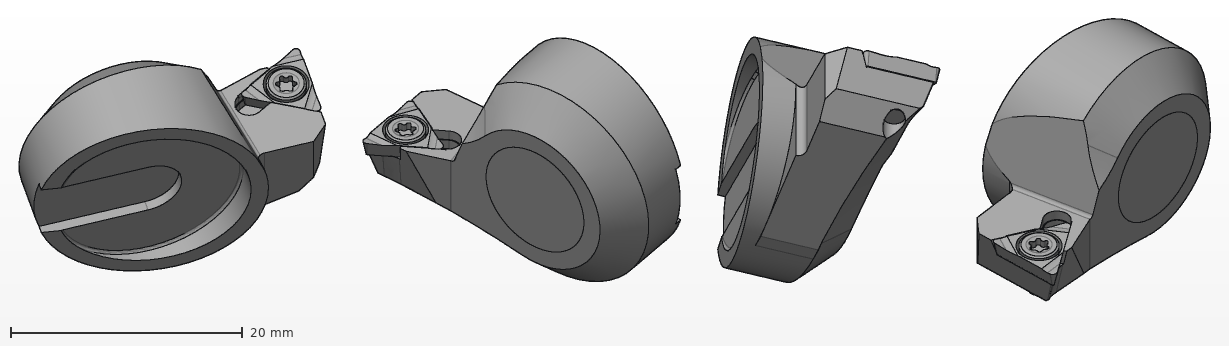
import cadquery as cq
import math


def polar(radius, degrees, centre=(0, 0)):
    """Point at a radius and an angle from a centre."""
    angle = math.radians(degrees)
    return (centre[0] + radius * math.cos(angle), centre[1] + radius * math.sin(angle))



OVERALL_LENGTH = 26.85

RING_DIAMETER = 20.0
RING_RADIUS = RING_DIAMETER / 2
CHAMFER = 3.0
BACK_TILT = 9
BACK_AT_AXIS = 9.77
BORE_RADIUS = 8.5
BORE_FLOOR = 8.5
BORE_FILLET = 0.25
KEY_HALF_WIDTH = 3.03
KEY_FLOOR = 7.57
PLUG_RADIUS = 5.25
PLUG_DEPTH = 2.0

LOWER_BLEND_RADIUS = 80.55
LOWER_BLEND_ANGLE = -78.5
UPPER_BLEND_RADIUS = 9.4
UPPER_BLEND_ANGLE = 40
UPPER_BLEND_SWEEP = 20
FRONT_REACH = 2.68

WALL_FOOT = 8.75
WALL_TURN = 9.5
WALL_LEAN = 20
WALL_FILLET = 0.4

TIP_ANGLES = (30, 150, 270)
LEFT_TIP_ANGLE = 150
LEFT_EDGE_NORMAL = 210
HALF_TIP = 30
INSERT_INRADIUS = 2.2
INSERT_CENTRE = (1.0, OVERALL_LENGTH - RING_RADIUS - INSERT_INRADIUS)
INSERT_THICKNESS = 1.53
INSERT_RELIEF = 11
NOSE_RADIUS = 0.4
SINK_RADIUS = 2.0
LIP_RADIUS = 1.9
LIP_DEPTH = 0.21
SEAT_RADIUS = 1.75
SEAT_DEPTH = 0.48
INSERT_BORE_RADIUS = 1.13

END_SETBACK = 0.13
EDGE_UNDERCUT = 0.2
ARM_END = INSERT_CENTRE[1] + INSERT_INRADIUS - END_SETBACK
ARM_DROP = 0.08
ARM_BACK = 7.57
ARM_BACK_CHAMFER = 1.53
ARM_BACK_FILLET = 0.75
ARM_FLANK_FOOT = 9.05
ARM_FLANK_CORNER = (-1.25, 12.97)
ARM_FOOT_FILLET = 0.27
TIP_RELIEF = 10
FLANK_RELIEF = 9.4
TIP_FILLET = 0.08
RELIEF_DEPTH = 5.37
ARM_FLANK_FILLET = 3.0
UNDERSIDE_SLOPE = 15
TIP_SLOPE = 47.5
TIP_BREAK = 13.85
POCKET_SHOULDER_SHIFT = 0.2
TIP_SLOT_CENTRE = (2.1, 10.98)
TIP_SLOT_RADIUS = 1.24
TIP_SLOT_LENGTH = 2.68
TIP_SLOT_TURN = -60
TIP_SLOT_STEP = 0.08
TIP_SLOT_STEP_DEPTH = 1.05
TIP_SLOT_DEPTH = 2.0

BREAKER_LAND_END = (-1.83, -0.13)
BREAKER_MIDDLE = (-1.48, -0.1)
BREAKER_END_X = -1.18

SCREW_TOP = 0.13
SCREW_TOP_RADIUS = 1.55
SHANK_RADIUS = 0.97
SHANK_END = -4.83
RECESS_RADIUS = 1.13
RECESS_DEPTH = 0.13
LOBE_COUNT = 6
LOBE_TURN = 15
DRIVE_OUTER_RADIUS = 0.9
DRIVE_INNER_RADIUS = 0.67
DRIVE_DEPTH = 0.8

FAR = 20.15


def underside_cut():
    """Everything below the arm underside, a tangent to the rim, and below the rising tip face."""
    slope = math.radians(UNDERSIDE_SLOPE)
    drop_at_axis = RING_RADIUS / math.cos(slope)
    break_z = TIP_BREAK * math.tan(slope) - drop_at_axis
    tip_rise = (FAR - TIP_BREAK) * math.tan(math.radians(TIP_SLOPE))
    return (
        cq.Workplane("YZ", origin=(-FAR, 0, 0))
        .moveTo(0, -drop_at_axis)
        .lineTo(TIP_BREAK, break_z)
        .lineTo(FAR, break_z + tip_rise)
        .lineTo(FAR, -FAR)
        .lineTo(0, -FAR)
        .close()
        .extrude(2 * FAR)
    )


def front_section(x):
    """Outline of the chamfered front form at X = x: it grows by x all round."""
    circle = RING_RADIUS - CHAMFER + x
    lower = LOWER_BLEND_RADIUS - x
    upper = UPPER_BLEND_RADIUS - x
    lower_centre = polar(circle + lower, LOWER_BLEND_ANGLE)
    upper_centre = polar(circle + upper, UPPER_BLEND_ANGLE)
    lower_start = LOWER_BLEND_ANGLE + 180
    lower_end = 90
    lower_middle = (lower_start + lower_end) / 2
    upper_start = UPPER_BLEND_ANGLE + 180
    upper_end = polar(upper, upper_start + UPPER_BLEND_SWEEP, upper_centre)
    return (
        cq.Workplane("YZ", origin=(x, 0, 0))
        .moveTo(*polar(circle, LOWER_BLEND_ANGLE))
        .threePointArc((-circle, 0), polar(circle, UPPER_BLEND_ANGLE))
        .threePointArc(polar(upper, upper_start + UPPER_BLEND_SWEEP / 2, upper_centre), upper_end)
        .lineTo(FAR, upper_end[1])
        .lineTo(FAR, lower_centre[1] + lower)
        .lineTo(lower_centre[0], lower_centre[1] + lower)
        .threePointArc(polar(lower, lower_middle, lower_centre), polar(circle, LOWER_BLEND_ANGLE))
        .close()
        .val()
    )


def head_blank():
    """Chamfered front with its blends, and the round rim and square arm behind it."""
    front = cq.Solid.makeLoft([front_section(-FRONT_REACH), front_section(CHAMFER)], True)
    behind = cq.Workplane("YZ", origin=(CHAMFER, 0, 0))
    rim = behind.circle(RING_RADIUS).extrude(FAR)
    arm = (
        behind.moveTo(0, -RING_RADIUS)
        .rect(FAR, RING_RADIUS + WALL_FILLET, centered=False)
        .extrude(ARM_BACK + ARM_BACK_FILLET - CHAMFER)
    )
    return cq.Workplane(front).cut(underside_cut()).union(arm.cut(underside_cut()).union(rim))


def plan_prism():
    """Outline seen along Z: front face, tilted back, arm back and side flank."""
    lean = math.tan(math.radians(BACK_TILT))
    flank_run = ARM_FLANK_CORNER[0] / (ARM_FLANK_CORNER[1] - ARM_FLANK_FOOT)
    fillet_middle = polar(
        ARM_BACK_FILLET, 225, (ARM_BACK + ARM_BACK_FILLET, RING_RADIUS + ARM_BACK_FILLET)
    )
    return (
        cq.Workplane("XY", origin=(0, 0, -FAR))
        .moveTo(0, -FAR)
        .lineTo(BACK_AT_AXIS - FAR * lean, -FAR)
        .lineTo(BACK_AT_AXIS + RING_RADIUS * lean, RING_RADIUS)
        .lineTo(ARM_BACK + ARM_BACK_FILLET, RING_RADIUS)
        .threePointArc(fillet_middle, (ARM_BACK, RING_RADIUS + ARM_BACK_FILLET))
        .lineTo(ARM_BACK, ARM_END - ARM_BACK_CHAMFER)
        .lineTo(ARM_BACK - ARM_BACK_CHAMFER, ARM_END)
        .lineTo(ARM_BACK - ARM_BACK_CHAMFER, FAR)
        .lineTo(flank_run * (FAR - ARM_FLANK_FOOT), FAR)
        .lineTo(0, ARM_FLANK_FOOT)
        .close()
        .extrude(2 * FAR)
        .edges(cq.selectors.NearestToPointSelector((0, ARM_FLANK_FOOT, 0)))
        .fillet(ARM_FOOT_FILLET)
    )


def wall_cut():
    """Space above the arm, bounded by the leaning wall and its foot fillet."""
    rise = FAR * math.tan(math.radians(WALL_LEAN))
    space = (
        cq.Workplane("YZ", origin=(-FAR, 0, 0))
        .polyline([(0, 0), (2 * FAR, 0), (2 * FAR, FAR), (-rise, FAR)])
        .close()
        .extrude(3 * FAR)
        .edges(cq.selectors.NearestToPointSelector((FAR / 2, 0, 0)))
        .fillet(WALL_FILLET)
    )
    return space.rotate((0, 0, 0), (0, 0, 1), WALL_TURN).translate((0, WALL_FOOT, -ARM_DROP))


def tip_section(depth):
    """Outline of the tapered arm tip at a depth below Z = 0, with its corner and its bend."""
    inset = depth * math.tan(math.radians(TIP_RELIEF))
    flank_inset = depth * math.tan(math.radians(FLANK_RELIEF))
    slant = math.cos(math.radians(HALF_TIP))
    half = math.sin(math.radians(HALF_TIP))
    centre_x, centre_y = INSERT_CENTRE
    edge_offset = INSERT_INRADIUS - EDGE_UNDERCUT - inset
    end_y = ARM_END - inset
    near_y = ARM_FLANK_FOOT - FAR / 4
    flank_x = ARM_FLANK_CORNER[0] + flank_inset
    corner_x = centre_x - (edge_offset + (end_y - centre_y) * half) / slant
    bend_y = centre_y - (edge_offset + (flank_x - centre_x) * slant) / half
    corner = (corner_x, end_y, -depth)
    bend = (flank_x, bend_y, -depth)
    outline = cq.Wire.makePolygon(
        [cq.Vector(*corner), cq.Vector(*bend), cq.Vector(flank_x, near_y, -depth),
         cq.Vector(FAR, near_y, -depth), cq.Vector(FAR, end_y, -depth)],
        close=True,
    )
    return outline, corner, bend


def relief_cut():
    """Material outside the tapered tip: end face, flank under the insert and side flank."""
    top = tip_section(0)[0]
    bottom = tip_section(RELIEF_DEPTH)[0]
    corner, bend = tip_section(RELIEF_DEPTH / 2)[1:]
    keep = (
        cq.Workplane(cq.Solid.makeLoft([top, bottom], True))
        .edges(cq.selectors.NearestToPointSelector(bend))
        .fillet(ARM_FLANK_FILLET)
        .edges(cq.selectors.NearestToPointSelector(corner))
        .fillet(TIP_FILLET)
    )
    slab = cq.Workplane("XY").box(2 * FAR, FAR, RELIEF_DEPTH, centered=(True, False, False))
    return slab.translate((0, ARM_FLANK_FOOT, -RELIEF_DEPTH)).cut(keep)


def insert_blank(nose_radius=0):
    """Tapered triangle of the insert, top at Z = 0; a nose radius rounds its three corners."""
    corners = [polar(2 * INSERT_INRADIUS, angle, INSERT_CENTRE) for angle in TIP_ANGLES]
    outline = cq.Sketch().polygon([*corners, corners[0]])
    if nose_radius:
        outline = outline.vertices().fillet(nose_radius)
    return cq.Workplane("XY").placeSketch(outline).extrude(-INSERT_THICKNESS, taper=INSERT_RELIEF)


def pocket_cut():
    """Insert seat, opened sideways along the tip half of the left insert edge."""
    opening = (
        cq.Workplane("XY")
        .box(FAR / 2, FAR / 2, INSERT_THICKNESS, centered=False)
        .translate((0, -POCKET_SHOULDER_SHIFT - FAR / 2, -INSERT_THICKNESS))
        .rotate((0, 0, 0), (0, 0, 1), LEFT_EDGE_NORMAL)
        .translate((*INSERT_CENTRE, 0))
    )
    return insert_blank().union(opening)


def tip_slot(radius, depth):
    """Round-ended slot that clears the inner insert tip."""
    return (
        cq.Workplane("XY")
        .rect(TIP_SLOT_LENGTH, 2 * radius)
        .extrude(-depth)
        .translate((-TIP_SLOT_LENGTH / 2, 0, 0))
        .union(cq.Workplane("XY").circle(radius).extrude(-depth))
        .rotate((0, 0, 0), (0, 0, 1), TIP_SLOT_TURN)
        .translate((*TIP_SLOT_CENTRE, 0))
    )


def coupling_cut():
    """Bore in the back with a filleted floor, and a key slot open to the -Y rim."""
    bore = (
        cq.Workplane("YZ", origin=(BORE_FLOOR, 0, 0))
        .circle(BORE_RADIUS)
        .extrude(FAR)
        .faces("<X")
        .edges()
        .fillet(BORE_FILLET)
    )
    key_plane = cq.Workplane("YZ", origin=(KEY_FLOOR, 0, 0))
    key_end = key_plane.circle(KEY_HALF_WIDTH).extrude(FAR)
    key_run = key_plane.center(-FAR / 2, 0).rect(FAR, 2 * KEY_HALF_WIDTH).extrude(FAR)
    return bore.union(key_end).union(key_run)


def make_plug():
    """Round disc set flush into the front face."""
    return cq.Workplane("YZ").circle(PLUG_RADIUS).extrude(PLUG_DEPTH)


def make_head():
    """Coupling and arm with the seats for plug, insert and screw."""
    screw_hole = (
        cq.Workplane("XY").center(*INSERT_CENTRE).circle(SHANK_RADIUS).extrude(-FAR)
    )
    return (
        head_blank()
        .intersect(plan_prism())
        .cut(wall_cut())
        .cut(relief_cut())
        .cut(pocket_cut())
        .cut(tip_slot(TIP_SLOT_RADIUS, TIP_SLOT_STEP_DEPTH))
        .cut(tip_slot(TIP_SLOT_RADIUS - TIP_SLOT_STEP, TIP_SLOT_DEPTH))
        .cut(coupling_cut())
        .cut(make_plug())
        .cut(screw_hole)
    )


def breaker_cut():
    """Chip breaker across the left tip: sloping land and concave groove."""
    tip_x = INSERT_CENTRE[0] - 2 * INSERT_INRADIUS * math.cos(math.radians(HALF_TIP))
    return (
        cq.Workplane("XZ", origin=(0, FAR, 0))
        .moveTo(tip_x, 0)
        .lineTo(*BREAKER_LAND_END)
        .threePointArc(BREAKER_MIDDLE, (BREAKER_END_X, 0))
        .close()
        .extrude(FAR)
    )


def make_insert():
    """Three-tipped cutting insert with a countersunk hole and chip breakers."""
    hole = (
        cq.Workplane("XZ")
        .polyline([
            (0, 0), (SINK_RADIUS, 0), (LIP_RADIUS, -LIP_DEPTH), (SEAT_RADIUS, -SEAT_DEPTH),
            (INSERT_BORE_RADIUS, -SEAT_DEPTH - SEAT_RADIUS + INSERT_BORE_RADIUS),
            (INSERT_BORE_RADIUS, -INSERT_THICKNESS), (0, -INSERT_THICKNESS),
        ])
        .close()
        .revolve(360, (0, 0), (0, 1))
        .translate((*INSERT_CENTRE, 0))
    )
    body = insert_blank(NOSE_RADIUS).cut(hole)
    centre = (*INSERT_CENTRE, 0)
    above_centre = (*INSERT_CENTRE, 1)
    for tip_angle in TIP_ANGLES:
        turn = tip_angle - LEFT_TIP_ANGLE
        body = body.cut(breaker_cut().rotate(centre, above_centre, turn))
    return body


def star_drive():
    """Six-lobed drive socket: outward lobe arcs joined by inward valley arcs."""
    pitch = 360 / LOBE_COUNT
    joint_radius = (DRIVE_OUTER_RADIUS + DRIVE_INNER_RADIUS) / 2
    star = cq.Workplane("XY", origin=(0, 0, SCREW_TOP))
    star = star.moveTo(*polar(joint_radius, LOBE_TURN - pitch / 4))
    for lobe in range(LOBE_COUNT):
        angle = LOBE_TURN + lobe * pitch
        star = star.threePointArc(
            polar(DRIVE_OUTER_RADIUS, angle), polar(joint_radius, angle + pitch / 4)
        ).threePointArc(
            polar(DRIVE_INNER_RADIUS, angle + pitch / 2), polar(joint_radius, angle + pitch * 3 / 4)
        )
    return star.close().extrude(-DRIVE_DEPTH)


def make_screw():
    """Countersunk clamping screw with a dished star drive."""
    body = (
        cq.Workplane("XZ")
        .polyline([
            (0, SCREW_TOP - RECESS_DEPTH), (DRIVE_INNER_RADIUS, SCREW_TOP - RECESS_DEPTH),
            (RECESS_RADIUS, SCREW_TOP), (SCREW_TOP_RADIUS, SCREW_TOP), (SEAT_RADIUS, 0),
            (SEAT_RADIUS, -SEAT_DEPTH), (SHANK_RADIUS, -SEAT_DEPTH - SEAT_RADIUS + SHANK_RADIUS),
            (SHANK_RADIUS, SHANK_END), (0, SHANK_END),
        ])
        .close()
        .revolve(360, (0, 0), (0, 1))
    )
    return body.cut(star_drive()).translate((*INSERT_CENTRE, 0))


head = make_head()
plug = make_plug()
insert = make_insert()
screw = make_screw()

result = cq.Compound.makeCompound(
    [head.solids().val(), plug.val(), insert.solids().val(), screw.solids().val()]
)